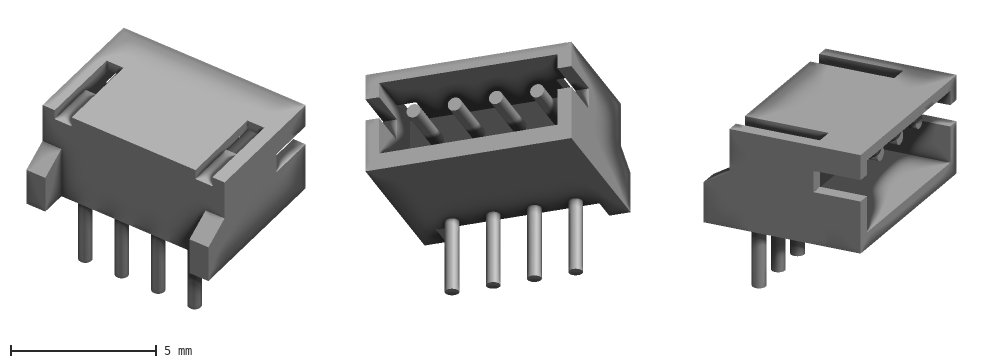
import cadquery as cq


width = 7.5
depth = 5.0
height = 3.7

wall = 0.5
roof = 0.4
floor = 0.6
cavity_front_y = 1.9

notch_length = 1.8
notch_bottom_z = 1.96
notch_top_z = 2.76

slot_width = 0.7
slot_length = 3.2

foot_width = 0.78
foot_reach = 1.0
foot_top_z = 2.1
foot_tip_z = 1.5

pin_count = 4
pin_pitch = 1.5
pin_diameter = 0.5
pin_radius = pin_diameter / 2
tail_y = 0.4
tail_length = 2.7
pin_z = 2.4
pin_setback = 0.7


def box(x_range, y_range, z_range):
    """Box given by its lower and upper limits along each axis."""
    (x0, x1), (y0, y1), (z0, z1) = x_range, y_range, z_range
    return cq.Workplane("XY").box(x1 - x0, y1 - y0, z1 - z0, centered=False).translate((x0, y0, z0))


def make_foot():
    """Left foot, with a sloping top that falls away from the front face."""
    profile = [(0, 0), (0, foot_top_z), (-foot_reach, foot_tip_z), (-foot_reach, 0)]
    return cq.Workplane("YZ", origin=(-width / 2, 0, 0)).polyline(profile).close().extrude(foot_width)


def make_slot():
    """Left key slot, cut through the roof down to the cavity ceiling."""
    outer_x = -width / 2 + wall
    return box((outer_x, outer_x + slot_width), (0, slot_length), (height - roof, height))


def make_housing():
    inner_x = width / 2 - wall
    body = box((-width / 2, width / 2), (0, depth), (0, height))
    cavity = box((-inner_x, inner_x), (cavity_front_y, depth), (floor, height - roof))
    notches = box((-width / 2, width / 2), (depth - notch_length, depth), (notch_bottom_z, notch_top_z))
    foot = make_foot()
    slot = make_slot()
    body = body.union(foot).union(foot.mirror("YZ"))
    body = body.cut(cavity).cut(notches)
    return body.cut(slot).cut(slot.mirror("YZ"))


def mitre_wedge(x, side):
    """Half of the corner block where tail and pin meet: side 1 is up and back, -1 is down and front."""
    corner = (side * pin_radius, side * pin_radius)
    profile = [(-pin_radius, pin_radius), corner, (pin_radius, -pin_radius)]
    plane = cq.Workplane("YZ", origin=(x, tail_y, pin_z))
    return plane.polyline(profile).close().extrude(pin_radius, both=True)


def make_tail(x):
    """Solder tail: the upright pin that leaves through the bottom."""
    rod_length = tail_length + pin_z + pin_radius
    rod = cq.Workplane("XY", origin=(x, tail_y, -tail_length)).circle(pin_radius).extrude(rod_length)
    return rod.cut(mitre_wedge(x, 1))


def make_mating_pin(x):
    """Mating pin: runs back from the top of the tail into the cavity."""
    end_y = depth - pin_setback
    rod_length = end_y - (tail_y - pin_radius)
    rod = cq.Workplane("XZ", origin=(x, end_y, pin_z)).circle(pin_radius).extrude(rod_length)
    return rod.cut(mitre_wedge(x, -1))


housing = make_housing()
tails = []
mating_pins = []
for index in range(pin_count):
    pin_x = (index - (pin_count - 1) / 2) * pin_pitch
    tail = make_tail(pin_x)
    mating_pin = make_mating_pin(pin_x)
    housing = housing.cut(tail).cut(mating_pin)
    tails.append(tail.solids().val())
    mating_pins.append(mating_pin.solids().val())

result = cq.Compound.makeCompound([housing.solids().val(), *tails, *mating_pins])